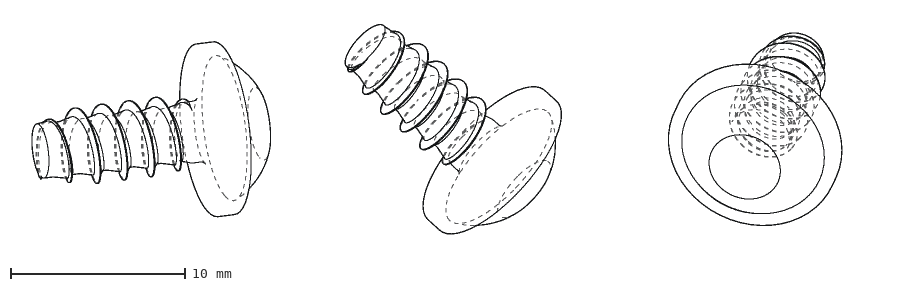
import cadquery as cq
import math


flange_radius = 5.0
flange_thickness = 1.1
flange_edge_fillet = 0.06
dome_base_radius = 4.20
dome_mid_radius = 3.45
dome_mid_y = 2.2
dome_flat_radius = 2.1
head_height = 3.2

shank_length = 10.0
neck_radius = 1.76
neck_fillet = 0.6
neck_end_y = -1.07
neck_cone_length = 0.74
core_radius = 1.56
dimple_radius = 1.47
dimple_depth = 0.12

pitch = 1.63
crest_radius = 2.25
crest_half_width = 0.03
root_radius = 1.2
turn_zero_y = -2.68
first_turn = -1.25
full_height_turn = 0.0
fade_turn = 3.0
last_turn = 4.75
start_rise_per_turn = 0.32
end_drop_per_turn = 0.45
sections_per_turn = 16

ridge_foot_offset = -0.50
ridge_foot_radius = 1.50
ridge_knee_offset = -0.20
ridge_knee_radius = 1.80
shoulder_offset = 0.20
shoulder_radius = 1.74
taper_end_offset = 0.95
taper_overrun = 0.10
flank_slope = (crest_radius - shoulder_radius) / (shoulder_offset - crest_half_width)
largest_relative_sink = 0.40
taper_fade_turn = 3.4
taper_drop_per_turn = 0.13


def make_blank():
    """Head, under-head fillet, neck, and plain core as one turned body."""
    outline = (
        cq.Workplane("XY")
        .moveTo(0, -shank_length)
        .lineTo(core_radius, -shank_length)
        .lineTo(core_radius, neck_end_y - neck_cone_length)
        .lineTo(neck_radius, neck_end_y)
        .lineTo(neck_radius, -neck_fillet)
        .radiusArc((neck_radius + neck_fillet, 0), neck_fillet)
        .lineTo(flange_radius, 0)
        .lineTo(flange_radius, flange_thickness)
        .lineTo(dome_base_radius, flange_thickness)
        .threePointArc((dome_mid_radius, dome_mid_y), (dome_flat_radius, head_height))
        .lineTo(0, head_height)
        .close()
    )
    blank = outline.revolve(360, (0, 0, 0), (0, 1, 0))
    rim = cq.selectors.RadiusNthSelector(-1)
    blank = blank.edges("%CIRCLE").edges(rim).fillet(flange_edge_fillet)
    return blank.rotate((0, 0, 0), (0, 1, 0), 180)


def taper_sink(turn):
    """Depth of the conical land below its full radius."""
    return max(0.0, turn - taper_fade_turn) * taper_drop_per_turn


def crest_sink(turn):
    """Depth of the crest below its full radius, limited so that it stays above the land."""
    at_start = max(0.0, full_height_turn - turn) * start_rise_per_turn
    at_end = max(0.0, turn - fade_turn) * end_drop_per_turn
    return min(at_start + at_end, largest_relative_sink + taper_sink(turn))


def crest_y(turn):
    return turn_zero_y - pitch * turn


def thread_section(turn):
    """Ridge with a hollow flank towards the head, followed by the land that narrows to the core."""
    angle = 2 * math.pi * turn
    outward = cq.Vector(-math.sin(angle), 0, math.cos(angle))
    axis = cq.Vector(0, 1, 0)
    plane = cq.Plane(origin=(0, crest_y(turn), 0), xDir=outward, normal=outward.cross(axis))

    sink = crest_sink(turn)
    land_sink = taper_sink(turn)
    land_drop = shoulder_radius - land_sink - core_radius
    taper_slope = land_drop / (taper_end_offset - shoulder_offset)
    shoulder_shift = (sink - land_sink) / (flank_slope - taper_slope)
    shoulder_r = shoulder_radius - land_sink + taper_slope * shoulder_shift
    end_r = core_radius - taper_slope * taper_overrun
    return (
        cq.Workplane(plane)
        .moveTo(root_radius - sink, -ridge_foot_offset)
        .lineTo(ridge_foot_radius - sink, -ridge_foot_offset)
        .threePointArc(
            (ridge_knee_radius - sink, -ridge_knee_offset),
            (crest_radius - sink, crest_half_width),
        )
        .lineTo(crest_radius - sink, -crest_half_width)
        .lineTo(shoulder_r, shoulder_shift - shoulder_offset)
        .lineTo(end_r, -taper_end_offset - taper_overrun)
        .lineTo(root_radius - sink, -taper_end_offset - taper_overrun)
        .close()
        .val()
    )


def make_thread():
    """Loft through sections turned about and moved along the axis."""
    steps = round((last_turn - first_turn) * sections_per_turn)
    turns = [first_turn + step / sections_per_turn for step in range(steps + 1)]
    return cq.Workplane(cq.Solid.makeLoft([thread_section(turn) for turn in turns]))


def make_thread_zone():
    """Cylinder that limits the thread to the stretch between neck and tip."""
    return (
        cq.Workplane("XZ", origin=(0, neck_end_y, 0))
        .circle(flange_radius)
        .extrude(shank_length + neck_end_y)
    )


def make_dimple():
    """Shallow cone sunk into the tip face."""
    outline = cq.Workplane("XY").polyline([
        (0, -shank_length),
        (dimple_radius, -shank_length),
        (0, -shank_length + dimple_depth),
    ]).close()
    return outline.revolve(360, (0, 0, 0), (0, 1, 0))


thread = make_thread().intersect(make_thread_zone())
result = make_blank().union(thread).cut(make_dimple())